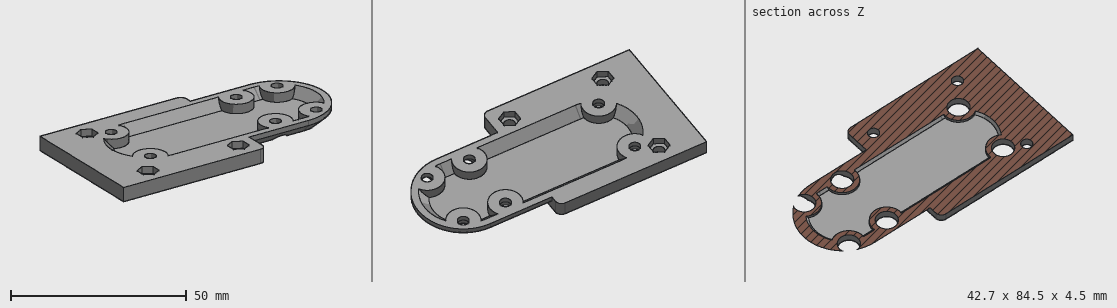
import cadquery as cq

length = 84.5
thickness = 4.5
plate_width = 42.7
plate_left = -18.9
plate_length = 49.1
corner_radius = 2.0

arm_radius = 14.95
arm_center_y = length - arm_radius
edge_chamfer = 2.9

pocket_radius = 12.8
pocket_depth = 2.95
pocket_wall_angle = 45
pocket_start_y = 24.6

boss_radius = 5.1
boss_x = 10.0
boss_rows = [18.5, 61.5, 75.55]
hole_diameter = 3.4
counterbore_diameter = 6.5
counterbore_depth = 2.95

nut_pitch = 31.0
nut_left = -13.1
nut_front = 12.3
nut_corner_diameter = 6.25
nut_depth = 2.2


def slot(radius, start_y, end_y, z):
    """Closed stadium outline along Y, given its two arc centres."""
    return (
        cq.Workplane("XY", origin=(0, 0, z))
        .moveTo(radius, start_y)
        .lineTo(radius, end_y)
        .threePointArc((0, end_y + radius), (-radius, end_y))
        .lineTo(-radius, start_y)
        .threePointArc((0, start_y - radius), (radius, start_y))
        .close()
    )


def make_body():
    """Plate with two rounded corners joined to the arm, which starts inside it."""
    plate = (
        cq.Workplane("XY")
        .box(plate_width, plate_length, thickness, centered=False)
        .translate((plate_left, 0, 0))
        .edges("|Z and >Y")
        .fillet(corner_radius)
    )
    arm_start_y = plate_length / 2
    arm = (
        slot(arm_radius, arm_start_y, arm_center_y, 0)
        .extrude(thickness)
        .faces("<Z")
        .chamfer(edge_chamfer)
    )
    return plate.union(arm)


def make_pocket():
    """Pocket volume, leaving the bosses standing at full height."""
    pocket = slot(pocket_radius, pocket_start_y, arm_center_y, thickness).extrude(
        -pocket_depth, taper=pocket_wall_angle
    )
    bosses = cq.Workplane("XY").pushPoints(boss_points).circle(boss_radius).extrude(thickness)
    return pocket.cut(bosses)


def drill(body, points):
    """Drill a through hole at every point."""
    holes = cq.Workplane("XY").pushPoints(points).circle(hole_diameter / 2).extrude(thickness)
    return body.cut(holes)


boss_points = [(side * boss_x, y) for y in boss_rows for side in (-1, 1)]
nut_right = nut_left + nut_pitch
nut_points = [
    (nut_left, nut_front),
    (nut_right, nut_front),
    (nut_right, nut_front + nut_pitch),
]

counterbores = (
    cq.Workplane("XY")
    .pushPoints(boss_points)
    .circle(counterbore_diameter / 2)
    .extrude(counterbore_depth)
)
nut_recesses = (
    cq.Workplane("XY", origin=(0, 0, thickness))
    .pushPoints(nut_points)
    .polygon(6, nut_corner_diameter)
    .extrude(-nut_depth)
)

result = make_body().cut(make_pocket())
result = drill(result, boss_points + nut_points)
result = result.cut(counterbores).cut(nut_recesses)